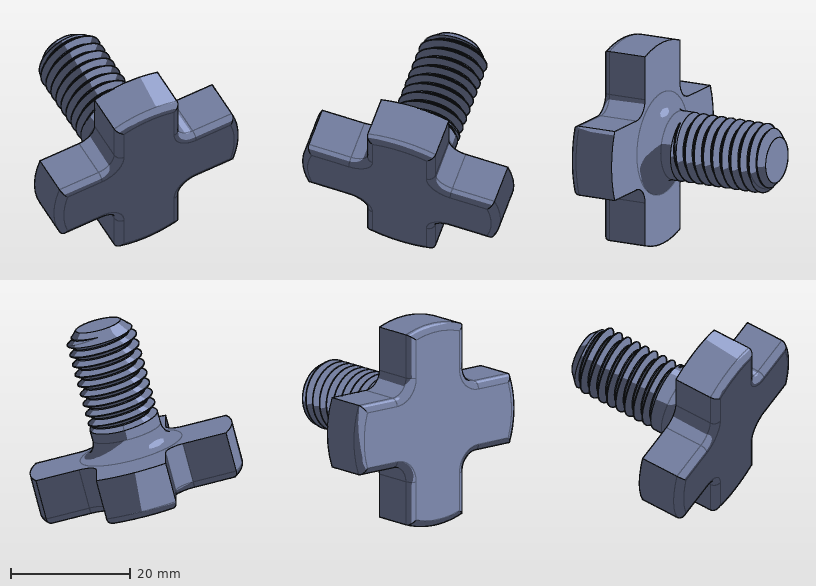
import cadquery as cq
import math

head_radius = 17.5
head_thickness = 8.05
arm_width = 12.0
arm_corner_radius = 2.98
rim_fillet = 1.22

stud_length = 21.95
stud_radius = 5.88
tip_radius = 3.9
neck_fillet = 2.95

pitch = 1.75
root_radius = 4.8
root_flat = 0.2
crest_flat = 0.15
cutter_overshoot = 0.35
thread_start = 0.788
thread_turns = 9

runout_offset = 0.6
runout_pitch = 0.7
runout_turns = 0.45


def make_head():
    """Cross of two bars, trimmed round, with the outer face edge rounded."""
    plane = cq.Workplane("YZ", origin=(stud_length, 0, 0))
    upright = plane.rect(arm_width, 2 * head_radius).extrude(head_thickness)
    crossbar = plane.rect(2 * head_radius, arm_width).extrude(head_thickness)
    cross = upright.union(crossbar)
    inner_corners = cq.selectors.BoxSelector(
        (stud_length, -arm_width, -arm_width),
        (stud_length + head_thickness, arm_width, arm_width),
    )
    cross = cross.edges("|X").edges(inner_corners).fillet(arm_corner_radius)
    disc = plane.circle(head_radius).extrude(head_thickness)
    return cross.intersect(disc).faces(">X").edges().fillet(rim_fillet)


def make_stud():
    """Revolved stud with a conical tip and a neck flaring into the head."""
    tip_length = stud_radius - tip_radius
    neck_start = stud_length - neck_fillet
    diagonal = neck_fillet * math.sqrt(0.5)
    neck_middle = (neck_start + diagonal, stud_radius + neck_fillet - diagonal)
    return (
        cq.Workplane("XY")
        .lineTo(0, tip_radius)
        .lineTo(tip_length, stud_radius)
        .lineTo(neck_start, stud_radius)
        .threePointArc(neck_middle, (stud_length, stud_radius + neck_fillet))
        .lineTo(stud_length, 0)
        .close()
        .revolve(360, (0, 0, 0), (1, 0, 0))
    )


def make_groove(start_x, lead, turns, axis_offset):
    """Trapezoid swept along a helix from the -Z side, about an axis raised by axis_offset."""
    helix_radius = root_radius + axis_offset
    cutter_depth = stud_radius + cutter_overshoot - root_radius
    flank_slope = (pitch - crest_flat - root_flat) / 2 / (stud_radius - root_radius)
    inner_half = root_flat / 2
    outer_half = inner_half + flank_slope * cutter_depth
    helix = cq.Wire.makeHelix(lead, lead * turns, helix_radius)
    groove = (
        cq.Workplane("XZ")
        .polyline([
            (helix_radius, -inner_half),
            (helix_radius + cutter_depth, -outer_half),
            (helix_radius + cutter_depth, outer_half),
            (helix_radius, inner_half),
        ])
        .close()
        .sweep(cq.Workplane(helix), isFrenet=True)
    )
    axis = cq.Plane(origin=(start_x, 0, axis_offset), xDir=(0, 0, -1), normal=(1, 0, 0))
    return cq.Workplane(groove.val().moved(cq.Location(axis)))


thread_end = thread_start + pitch * thread_turns
thread = make_groove(thread_start, pitch, thread_turns, 0)
runout = make_groove(thread_end, runout_pitch, runout_turns, runout_offset)
threaded_stud = make_stud().cut(thread).cut(runout)
result = make_head().union(threaded_stud)